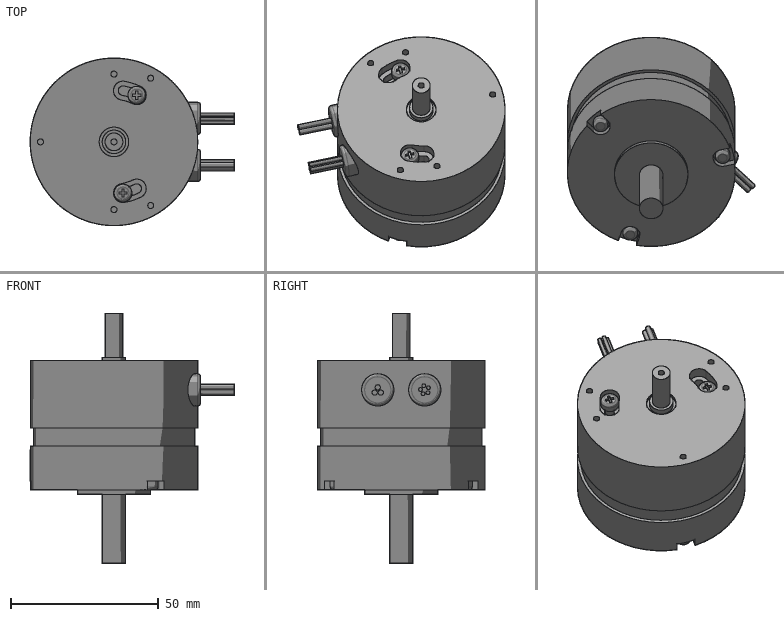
import cadquery as cq
import math

housing_diameter = 57.0
neck_diameter = 55.0
lower_housing_height = 14.9
neck_height = 6.1
upper_housing_height = 23.0
housing_height = lower_housing_height + neck_height + upper_housing_height
pilot_diameter = 25.0
pilot_height = 1.5
output_shaft_diameter = 8.0
output_shaft_length = 25.0
rear_shaft_diameter = 6.0
rear_shaft_length = 16.0
collar_height = 1.0
collar_recess_diameter = 10.0
collar_recess_depth = 1.0

small_hole_diameter = 2.0
small_hole_depth = 6.0
outer_circle_radius = 25.0
outer_circle_angles = (60, 180, 300)
inner_circle_radius = 23.0
inner_circle_angles = (90, 270)

head_height = 3.0
head_rounding = 1.0

slot_radius = 17.7
slot_angles = (72, -72)
slot_half_sweep = 8
slot_width = 6.5
slot_depth = 4.0
inner_slot_width = 3.2
inner_slot_depth = 8.0
slot_screw_head_diameter = 6.0
slot_screw_shank_diameter = 3.0
cross_length = 2.8
cross_width = 0.8
cross_depth = 1.0

notch_width = 6.5
notch_screw_head_diameter = 5.0

grommet_diameter = 11.0
grommet_rounding = 1.0
grommet_projection = 0.9
grommet_end_x = housing_diameter / 2 + grommet_projection
grommet_root_x = housing_diameter / 4
grommet_offset_y = 8.0
grommet_depth_below_top = 10.0
grommet_z = housing_height - grommet_depth_below_top
overall_length_x = 69.45
wire_end_x = overall_length_x - housing_diameter / 2
thin_wire_count = 5
thin_wire_diameter = 1.3
thin_wire_ring_radius = 1.45
thin_wire_start_angle = 31
thick_wire_count = 3
thick_wire_diameter = 1.8
thick_wire_ring_radius = 1.2
thick_wire_start_angle = 90
thick_wire_drop = 0.3


def polar(radius, angle):
    return (radius * math.cos(math.radians(angle)), radius * math.sin(math.radians(angle)))


def disc(diameter, bottom, height, center=(0, 0)):
    """Upright cylinder standing on the height `bottom`."""
    return cq.Workplane("XY", origin=(*center, bottom)).circle(diameter / 2).extrude(height)


def arc_slot(middle_angle, width, depth):
    """Cutter for a round-ended slot that follows a circle about the Z axis."""
    start_angle = middle_angle - slot_half_sweep
    end_angle = middle_angle + slot_half_sweep
    inner_radius = slot_radius - width / 2
    outer_radius = slot_radius + width / 2
    bottom = housing_height - depth
    band = (
        cq.Workplane("XY", origin=(0, 0, bottom))
        .moveTo(*polar(inner_radius, start_angle))
        .lineTo(*polar(outer_radius, start_angle))
        .threePointArc(polar(outer_radius, middle_angle), polar(outer_radius, end_angle))
        .lineTo(*polar(inner_radius, end_angle))
        .threePointArc(polar(inner_radius, middle_angle), polar(inner_radius, start_angle))
        .close()
        .extrude(depth)
    )
    for angle in (start_angle, end_angle):
        band = band.union(disc(width, bottom, depth, polar(slot_radius, angle)))
    return band


def slot_screw(center):
    """Cross-recessed screw resting on the ledge of an arc slot."""
    ledge = housing_height - slot_depth
    shank_bottom = housing_height - inner_slot_depth
    head = disc(slot_screw_head_diameter, ledge, head_height, center)
    head = head.faces(">Z").edges().fillet(head_rounding)
    recess = cq.Workplane("XY", origin=(*center, ledge + head_height - cross_depth))
    for length_x, length_y in ((cross_length, cross_width), (cross_width, cross_length)):
        head = head.cut(recess.rect(length_x, length_y).extrude(cross_depth))
    return head.union(disc(slot_screw_shank_diameter, shank_bottom, ledge - shank_bottom, center))


def rim_notch(angle):
    """Cutter for a radial notch with a round inner end, open at the rim and the bottom."""
    outward_length = housing_diameter / 2
    channel = (
        cq.Workplane("XY", origin=(outer_circle_radius + outward_length / 2, 0, 0))
        .rect(outward_length, notch_width)
        .extrude(head_height)
    )
    notch = channel.union(disc(notch_width, 0, head_height, (outer_circle_radius, 0)))
    return notch.rotate((0, 0, 0), (0, 0, 1), angle)


def notch_screw(angle):
    """Screw head hanging in a rim notch, flush with the bottom face."""
    head = disc(notch_screw_head_diameter, 0, head_height, polar(outer_circle_radius, angle))
    return head.faces("<Z").edges().fillet(head_rounding)


def grommet(center_y):
    plug = (
        cq.Workplane("YZ", origin=(grommet_root_x, center_y, grommet_z))
        .circle(grommet_diameter / 2)
        .extrude(grommet_end_x - grommet_root_x)
    )
    return plug.faces(">X").edges().fillet(grommet_rounding)


def wires(center_y, center_z, count, diameter, ring_radius, start_angle):
    """Ring of parallel wires leaving a grommet along +X, rooted inside the grommet."""
    start_x = housing_diameter / 2
    return (
        cq.Workplane("YZ", origin=(start_x, center_y, center_z))
        .polarArray(ring_radius, start_angle, 360, count)
        .circle(diameter / 2)
        .extrude(wire_end_x - start_x)
    )


collar_bottom = housing_height - collar_recess_depth
body = disc(housing_diameter, 0, lower_housing_height)
body = body.union(disc(neck_diameter, lower_housing_height, neck_height))
body = body.union(disc(housing_diameter, lower_housing_height + neck_height, upper_housing_height))
body = body.union(disc(pilot_diameter, -pilot_height, pilot_height))
body = body.union(disc(output_shaft_diameter, -output_shaft_length, output_shaft_length))
body = body.cut(disc(collar_recess_diameter, collar_bottom, collar_recess_depth))
body = body.union(disc(output_shaft_diameter, collar_bottom, collar_recess_depth + collar_height))
body = body.union(disc(rear_shaft_diameter, housing_height, rear_shaft_length))

hole_centers = [polar(outer_circle_radius, angle) for angle in outer_circle_angles]
hole_centers += [polar(inner_circle_radius, angle) for angle in inner_circle_angles]
for hole_center in hole_centers:
    body = body.cut(
        disc(small_hole_diameter, housing_height - small_hole_depth, small_hole_depth, hole_center)
    )
shaft_top = housing_height + rear_shaft_length
body = body.cut(disc(small_hole_diameter, shaft_top - small_hole_depth, small_hole_depth))

body = body.union(grommet(grommet_offset_y)).union(grommet(-grommet_offset_y))
thin_wires = wires(
    grommet_offset_y,
    grommet_z,
    thin_wire_count,
    thin_wire_diameter,
    thin_wire_ring_radius,
    thin_wire_start_angle,
)
thick_wires = wires(
    -grommet_offset_y,
    grommet_z - thick_wire_drop,
    thick_wire_count,
    thick_wire_diameter,
    thick_wire_ring_radius,
    thick_wire_start_angle,
)
body = body.union(thin_wires).union(thick_wires)

for slot_angle in slot_angles:
    body = body.cut(arc_slot(slot_angle, slot_width, slot_depth))
    body = body.cut(arc_slot(slot_angle, inner_slot_width, inner_slot_depth))
    body = body.union(slot_screw(polar(slot_radius, slot_angle - slot_half_sweep)))

for notch_angle in outer_circle_angles:
    body = body.cut(rim_notch(notch_angle))
    body = body.union(notch_screw(notch_angle))

result = body